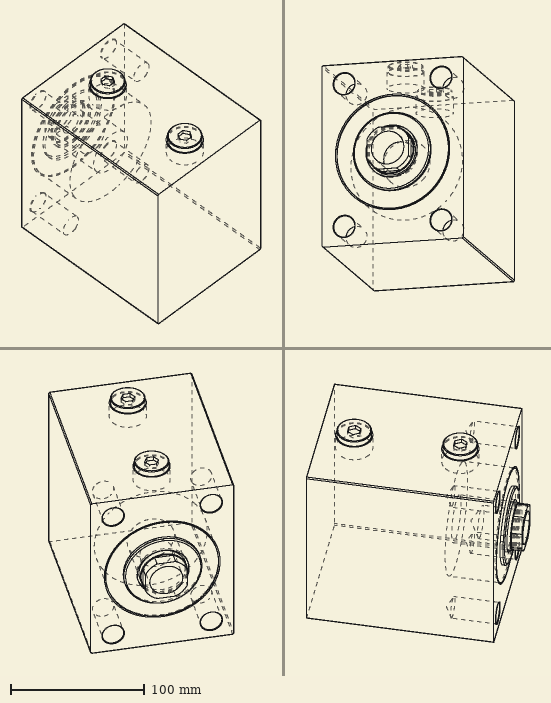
import cadquery as cq
import math

OVERALL_LENGTH = 157
OVERALL_HEIGHT = 144.9

BLOCK_LENGTH = 143.0
BLOCK_WIDTH = 110.0
BLOCK_HEIGHT = 140.0
BLOCK_EDGE_CHAMFER = 1.0

HOLE_DIAMETER = 16.3
HOLE_CHAMFER = 0.5
HOLE_DEPTH = 34.5
HOLE_PITCH_Y = 75.4
HOLE_PITCH_Z = 110.0

GLAND_DIAMETER = 86.8
GLAND_DEPTH = 39.2
GLAND_SEAT_CHAMFER = 1.1
COLLAR_DIAMETER = 60.0
COLLAR_HEIGHT = 3.3
COLLAR_CHAMFER = 1.1

GROOVE_DIAMETER = 39.9
GROOVE_DEPTH = 2.0

ROD_DIAMETER = 36.3
ROD_TIP = BLOCK_LENGTH - OVERALL_LENGTH
NOSE_LENGTH = 8.0
NOSE_DIAMETER = 35.3
NOSE_ACROSS_FLATS = 32.3
ROD_BORE_DIAMETER = 25.3
ROD_BORE_DEPTH = 34.5

PLUG_SHANK_DIAMETER = 28.0
PLUG_HEAD_DIAMETER = 26.0
PLUG_RISE = OVERALL_HEIGHT - BLOCK_HEIGHT
PLUG_DEPTH = 12.5
PLUG_CHAMFER = 0.6
FIRST_PLUG_X = 36.3
PLUG_PITCH = 81.0
HEX_ACROSS_FLATS = 9.3
HEX_DEPTH = 3.1

DRILL_POINT_ANGLE = 118

TOP_Z = BLOCK_HEIGHT / 2
PLUG_POSITIONS = [FIRST_PLUG_X, FIRST_PLUG_X + PLUG_PITCH]


def x_cylinder(diameter, x_start, x_end):
    """Cylinder on the X axis between two X positions."""
    return cq.Workplane("YZ", origin=(x_start, 0, 0)).circle(diameter / 2).extrude(x_end - x_start)


def drilled_hole(diameter, depth, x_start):
    """Cutter on the X axis for a blind hole with a conical drill point."""
    radius = diameter / 2
    point_length = radius / math.tan(math.radians(DRILL_POINT_ANGLE / 2))
    return (
        cq.Workplane("XY")
        .moveTo(x_start, 0)
        .lineTo(x_start, radius)
        .lineTo(x_start + depth, radius)
        .lineTo(x_start + depth + point_length, 0)
        .close()
        .revolve(360, (0, 0, 0), (1, 0, 0))
    )


def make_block():
    block = cq.Workplane("XY").box(BLOCK_LENGTH, BLOCK_WIDTH, BLOCK_HEIGHT, centered=(False, True, True))
    block = block.edges("|X").chamfer(BLOCK_EDGE_CHAMFER)

    hole = drilled_hole(HOLE_DIAMETER, HOLE_DEPTH, 0)
    for y in (-HOLE_PITCH_Y / 2, HOLE_PITCH_Y / 2):
        for z in (-HOLE_PITCH_Z / 2, HOLE_PITCH_Z / 2):
            block = block.cut(hole.translate((0, y, z)))
    block = block.faces("<X").edges("%CIRCLE").chamfer(HOLE_CHAMFER)

    block = block.cut(x_cylinder(GLAND_DIAMETER, 0, GLAND_DEPTH))
    largest_circle = cq.selectors.RadiusNthSelector(-1)
    block = block.faces("<X").edges("%CIRCLE").edges(largest_circle).chamfer(GLAND_SEAT_CHAMFER)

    plug_centres = [(x, 0) for x in PLUG_POSITIONS]
    recesses = (
        cq.Workplane("XY", origin=(0, 0, TOP_Z))
        .pushPoints(plug_centres)
        .circle(PLUG_SHANK_DIAMETER / 2)
        .extrude(-PLUG_DEPTH)
    )
    return block.cut(recesses)


def make_gland():
    collar = x_cylinder(COLLAR_DIAMETER, -COLLAR_HEIGHT, 0).faces("<X").chamfer(COLLAR_CHAMFER)
    gland = x_cylinder(GLAND_DIAMETER, 0, GLAND_DEPTH).union(collar)
    groove = x_cylinder(GROOVE_DIAMETER, -COLLAR_HEIGHT, GROOVE_DEPTH - COLLAR_HEIGHT)
    return gland.cut(groove).cut(x_cylinder(ROD_DIAMETER, -COLLAR_HEIGHT, GLAND_DEPTH))


def make_rod():
    nose_end = ROD_TIP + NOSE_LENGTH
    flats = cq.Workplane("YZ", origin=(ROD_TIP, 0, 0)).rect(NOSE_ACROSS_FLATS, NOSE_ACROSS_FLATS)
    nose = x_cylinder(NOSE_DIAMETER, ROD_TIP, nose_end).intersect(flats.extrude(NOSE_LENGTH))
    shank_chamfer = (ROD_DIAMETER - NOSE_DIAMETER) / 2
    shank = x_cylinder(ROD_DIAMETER, nose_end, GLAND_DEPTH).faces("<X").chamfer(shank_chamfer)
    rod = shank.union(nose)
    return rod.cut(drilled_hole(ROD_BORE_DIAMETER, ROD_BORE_DEPTH, ROD_TIP))


def make_plug(x):
    """Port plug with a hexagon socket whose corners point along Y."""
    shank = cq.Workplane("XY", origin=(x, 0, TOP_Z)).circle(PLUG_SHANK_DIAMETER / 2).extrude(-PLUG_DEPTH)
    head = cq.Workplane("XY", origin=(x, 0, TOP_Z)).circle(PLUG_HEAD_DIAMETER / 2).extrude(PLUG_RISE)
    plug = shank.union(head.faces(">Z").chamfer(PLUG_CHAMFER))
    across_corners = HEX_ACROSS_FLATS / math.cos(math.pi / 6)
    socket = (
        cq.Workplane("XY", origin=(x, 0, TOP_Z + PLUG_RISE))
        .transformed(rotate=(0, 0, 90))
        .polygon(6, across_corners)
        .extrude(-HEX_DEPTH)
    )
    return plug.cut(socket)


block = make_block()
gland = make_gland()
rod = make_rod()
plugs = [make_plug(x) for x in PLUG_POSITIONS]

result = cq.Compound.makeCompound([block.val(), gland.val(), rod.val(), *[plug.val() for plug in plugs]])